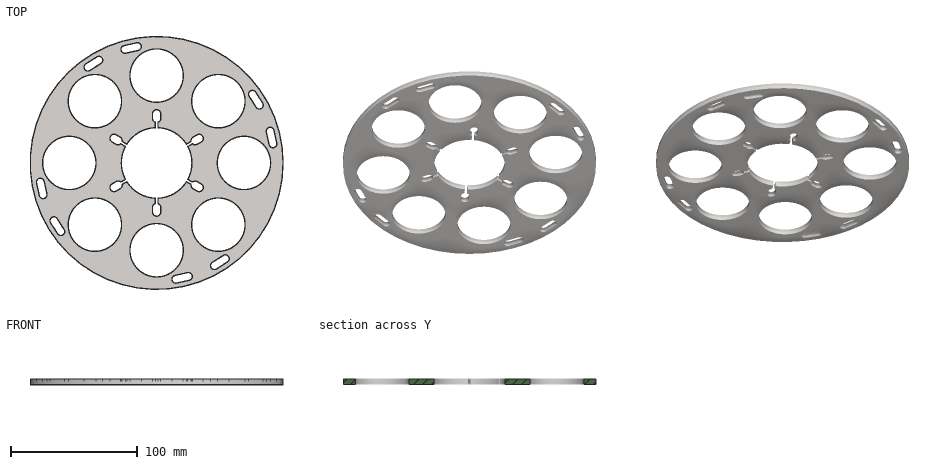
import cadquery as cq

disc_diameter = 200.0
thickness = 4.75
bore_diameter = 55.6

hole_count = 8
hole_diameter = 42.0
hole_ring_radius = 69.0

keyhole_count = 6
keyhole_first_angle = 30.0
keyhole_width = 6.4
keyhole_inner_radius = 32.0
keyhole_outer_radius = 42.0
neck_width = 2.0

rim_pair_count = 4
rim_pair_first_angle = 22.5
rim_pair_half_spread = 10.0
rim_slot_radius = 93.0
rim_slot_length = 16.2
rim_slot_width = 6.0


def evenly_spaced(count, first_angle=0.0):
    """Angles, in degrees, of features repeated around the disc."""
    return [first_angle + index * 360.0 / count for index in range(count)]


def rotated(cutter, angle):
    """Turn a cutter about the disc axis."""
    return cutter.rotate((0, 0, 0), (0, 0, 1), angle)


def make_disc():
    """Flat disc with its central bore."""
    return cq.Workplane("XY").circle(disc_diameter / 2).circle(bore_diameter / 2).extrude(thickness)


def round_hole_cutter():
    """Large round hole on the +X axis."""
    return cq.Workplane("XY").center(hole_ring_radius, 0).circle(hole_diameter / 2).extrude(thickness)


def keyhole_cutter():
    """Radial slot on the +X axis, joined to the bore by a narrow neck."""
    middle_radius = (keyhole_inner_radius + keyhole_outer_radius) / 2
    length = keyhole_outer_radius - keyhole_inner_radius
    slot = cq.Workplane("XY").center(middle_radius, 0).slot2D(length, keyhole_width).extrude(thickness)
    neck = (
        cq.Workplane("XY")
        .center(middle_radius / 2, 0)
        .rect(middle_radius, neck_width)
        .extrude(thickness)
    )
    return slot.union(neck)


def rim_slot_cutter():
    """Slot near the rim on the +X axis, with its length along the tangent."""
    return (
        cq.Workplane("XY")
        .center(rim_slot_radius, 0)
        .slot2D(rim_slot_length, rim_slot_width, angle=90)
        .extrude(thickness)
    )


result = make_disc()

for angle in evenly_spaced(hole_count):
    result = result.cut(rotated(round_hole_cutter(), angle))

for angle in evenly_spaced(keyhole_count, keyhole_first_angle):
    result = result.cut(rotated(keyhole_cutter(), angle))

for pair_angle in evenly_spaced(rim_pair_count, rim_pair_first_angle):
    for offset in (-rim_pair_half_spread, rim_pair_half_spread):
        result = result.cut(rotated(rim_slot_cutter(), pair_angle + offset))